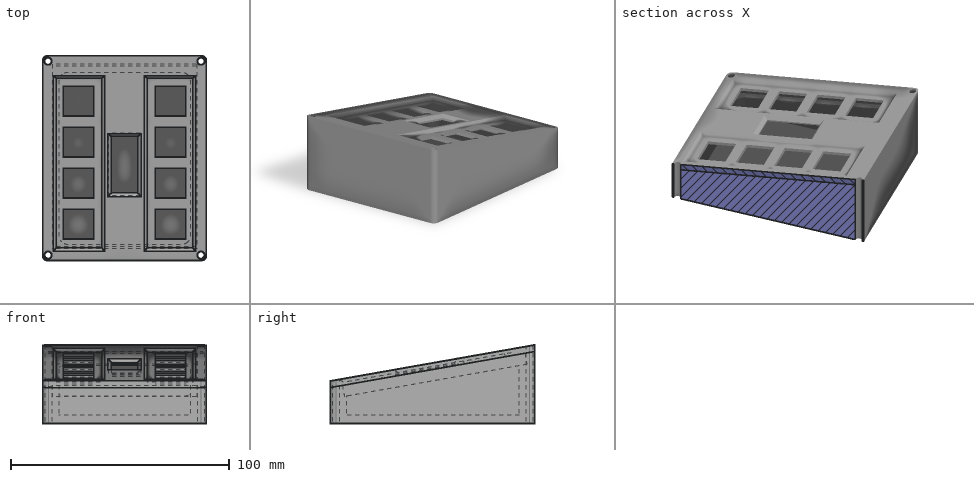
import cadquery as cq
import math

WIDTH = 75.0
LENGTH = 93.7
HEIGHT = 36.0
SLOPE = 10.0
CORNER_RADIUS = 2.5
LID_THICKNESS = 3.0

SCREW_DIAMETER = 3.2
SCREW_SPACING_X = WIDTH - 2 * CORNER_RADIUS
SCREW_SPACING_Y = LENGTH - 2 * CORNER_RADIUS

FLOOR_THICKNESS = 4.0
CAVITY_WALL = 7.5
CAVITY_RADIUS = 4.0
POCKET_WALL = 4.5
POCKET_DEPTH = 5.0

PANEL_X = 20.8
PANEL_V = -2.5
PANEL_WIDTH = 23.6
PANEL_LENGTH = 81.5
PANEL_DEPTH = 1.5
KEY_X = 21.1
KEY_V = -2.4
KEY_SIZE = 14.0
KEY_PITCH = 19.0
KEY_COUNT = 4

DISPLAY_V = -3.3
DISPLAY_WIDTH = 15.2
DISPLAY_LENGTH = 29.3
DISPLAY_DEPTH = 1.6
DISPLAY_SEAT_DEPTH = 0.75
DISPLAY_SEAT_MARGIN = 1.5

slope_angle = math.radians(SLOPE)
mid_height = HEIGHT - LENGTH / 2 * math.tan(slope_angle)
slope_normal = (0, -math.sin(slope_angle), math.cos(slope_angle))
oversize = 2 * LENGTH

top_plane = cq.Plane(origin=(0, 0, mid_height), xDir=(1, 0, 0), normal=slope_normal)


def slope_plane(depth):
    """Workplane parallel to the sloping top, sunk below it by depth."""
    return cq.Workplane(top_plane).workplane(offset=-depth)


def half_space_above(depth):
    """Everything above the plane that lies depth below the sloping top."""
    return slope_plane(depth).rect(oversize, oversize).extrude(oversize)


def rounded_block(width, length, radius, bottom):
    """Upright block with rounded corners, from bottom up past the sloping top."""
    block = cq.Workplane("XY").workplane(offset=bottom).rect(width, length).extrude(HEIGHT - bottom)
    return block.edges("|Z").fillet(radius)


def screw_holes():
    """Upright corner holes that pass through the lid and the base."""
    centers = cq.Workplane("XY").rect(SCREW_SPACING_X, SCREW_SPACING_Y, forConstruction=True).vertices()
    return centers.circle(SCREW_DIAMETER / 2).extrude(HEIGHT)


def chamfered_recess(x, v, width, length, depth):
    """Recess in the lid top whose sides all slope inward at 45 degrees."""
    return (
        slope_plane(0)
        .center(x, v)
        .rect(width, length)
        .workplane(offset=-depth)
        .rect(width - 2 * depth, length - 2 * depth)
        .loft(ruled=True)
    )


def window(x, v, width, length):
    """Opening square to the slope through the whole lid."""
    return slope_plane(LID_THICKNESS).center(x, v).rect(width, length).extrude(LID_THICKNESS)


def make_base():
    """Hollow wedge-shaped base with a shallow shelf around its cavity."""
    seam_cut = half_space_above(LID_THICKNESS)
    cavity = rounded_block(
        WIDTH - 2 * CAVITY_WALL, LENGTH - 2 * CAVITY_WALL, CAVITY_RADIUS, FLOOR_THICKNESS
    )
    pocket = (
        slope_plane(LID_THICKNESS)
        .rect(WIDTH - 2 * POCKET_WALL, LENGTH - 2 * POCKET_WALL)
        .extrude(-POCKET_DEPTH)
    )
    block = rounded_block(WIDTH, LENGTH, CORNER_RADIUS, 0).cut(seam_cut)
    return block.cut(cavity).cut(pocket).cut(screw_holes())


def cut_key_panel(lid, side):
    """Cut one recessed key panel and its column of windows."""
    lid = lid.cut(chamfered_recess(side * PANEL_X, PANEL_V, PANEL_WIDTH, PANEL_LENGTH, PANEL_DEPTH))
    for key in range(KEY_COUNT):
        key_v = KEY_V + (key - (KEY_COUNT - 1) / 2) * KEY_PITCH
        lid = lid.cut(window(side * KEY_X, key_v, KEY_SIZE, KEY_SIZE))
    return lid


def cut_display(lid):
    """Cut the display window, its chamfered surround and the seat beneath it."""
    window_width = DISPLAY_WIDTH - 2 * DISPLAY_DEPTH
    window_length = DISPLAY_LENGTH - 2 * DISPLAY_DEPTH
    seat = (
        slope_plane(LID_THICKNESS)
        .center(0, DISPLAY_V)
        .rect(window_width + 2 * DISPLAY_SEAT_MARGIN, window_length + 2 * DISPLAY_SEAT_MARGIN)
        .extrude(DISPLAY_SEAT_DEPTH)
    )
    lid = lid.cut(chamfered_recess(0, DISPLAY_V, DISPLAY_WIDTH, DISPLAY_LENGTH, DISPLAY_DEPTH))
    return lid.cut(window(0, DISPLAY_V, window_width, window_length)).cut(seat)


def make_lid():
    """Flat sloping lid, trimmed by the same upright outline as the base."""
    block = rounded_block(WIDTH, LENGTH, CORNER_RADIUS, 0)
    lid = block.intersect(half_space_above(LID_THICKNESS)).cut(half_space_above(0))
    lid = lid.cut(screw_holes())
    for side in (-1, 1):
        lid = cut_key_panel(lid, side)
    return cut_display(lid)


base = make_base()
lid = make_lid()
result = cq.Compound.makeCompound([base.val(), lid.val()])